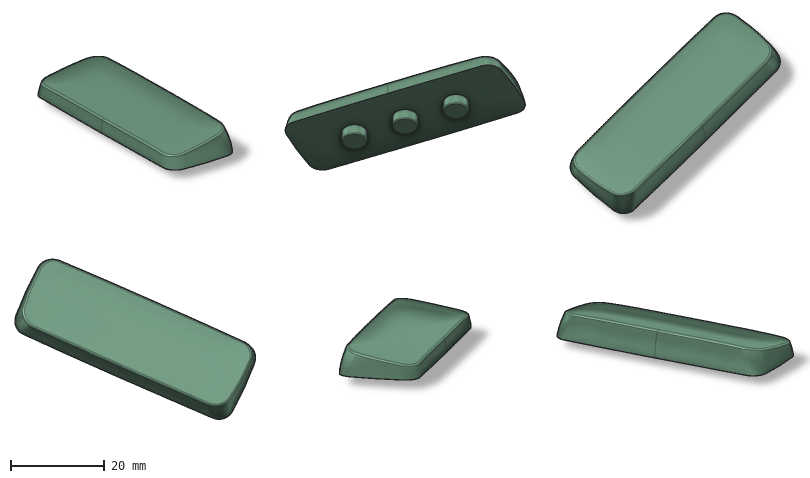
import cadquery as cq
import math

length = 51.3
width = 18.0

end_bow = 0.2
side_bow = 0.15
end_lean = 0.15
end_curve = 0.01559
side_curve = 0.03507
base_corner_radius = 3.3
corner_growth = 0.14
section_step = 2.05
section_count = 4

top_centre_height = 4.7
top_tilt = 9.5
crown_drop = 0.6
crown_power = 6
cutter_start = -width
cutter_depth = 3 * width
cutter_height = width
rim_radius = 0.5

pin_diameter = 5.5
pin_length = 2.45
pin_spacing = 12.0
pin_edge_radius = 0.3
pin_count = 3


def wall_section(z):
    """Horizontal outline of the cap at height z: two mirrored smooth halves that meet at X = 0."""
    half_x = length / 2 - end_lean * z - end_curve * z**2
    half_y = width / 2 - side_curve * z**2
    side_x = half_x - end_bow
    side_y = half_y - side_bow
    radius = base_corner_radius + corner_growth * z
    corner_inset = radius * (1 - math.cos(math.radians(45)))
    points = [
        (0, -half_y),
        (side_x - radius, -side_y),
        (side_x - corner_inset, corner_inset - side_y),
        (side_x, radius - side_y),
        (half_x, 0),
        (side_x, side_y - radius),
        (side_x - corner_inset, side_y - corner_inset),
        (side_x - radius, side_y),
        (0, half_y),
    ]
    side_slope = 2 * side_bow / side_x
    end_slope = 2 * end_bow / side_y
    tangents = [
        (1, 0),
        (1, side_slope),
        (1, 1),
        (end_slope, 1),
        (0, 1),
        (-end_slope, 1),
        (-1, 1),
        (-1, side_slope),
        (-1, 0),
    ]
    opposite_points = [(-x, -y) for x, y in points]
    opposite_tangents = [(-x, -y) for x, y in tangents]
    return (
        cq.Workplane("XY", origin=(0, 0, z))
        .spline(points, tangents)
        .spline(opposite_points, opposite_tangents)
        .close()
        .val()
    )


def crown_point(t):
    """Point of the crown curve, flat in the middle and falling towards the ends, for t from -1 to 1."""
    return (t * length / 2, -crown_drop * t**crown_power)


def above_top_face():
    """Everything above the tilted, crowned top face."""
    tilt = math.radians(top_tilt)
    front_height = top_centre_height + cutter_start * math.tan(tilt)
    plane = cq.Plane(
        origin=(0, cutter_start, front_height),
        xDir=(-1, 0, 0),
        normal=(0, math.cos(tilt), math.sin(tilt)),
    )
    half = length / 2
    return (
        cq.Workplane(plane)
        .parametricCurve(crown_point, start=-1, stop=1, makeWire=False)
        .lineTo(half, cutter_height)
        .lineTo(-half, cutter_height)
        .close()
        .extrude(cutter_depth)
    )


def cap():
    """Solid cap: lofted wall, tilted top face and a rounded rim."""
    sections = [wall_section(i * section_step) for i in range(section_count)]
    blank = cq.Workplane(cq.Solid.makeLoft(sections))
    body = blank.cut(above_top_face())
    return body.faces(">Z").edges().fillet(rim_radius)


def pins():
    """Row of round pins under the cap, with rounded lower edges."""
    return (
        cq.Workplane("XY")
        .rarray(pin_spacing, 0.5, pin_count, 1)
        .circle(pin_diameter / 2)
        .extrude(-pin_length)
        .faces("<Z")
        .edges()
        .fillet(pin_edge_radius)
    )


result = cap().union(pins())